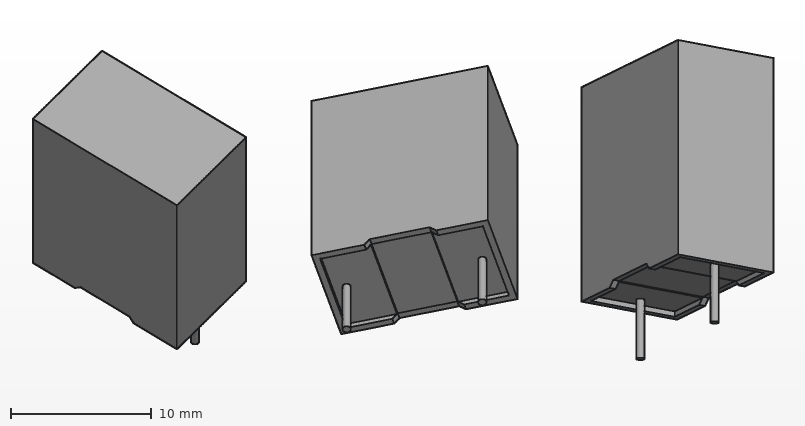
import cadquery as cq

housing_width = 13.0
housing_depth = 8.0
housing_height = 16.0
housing_bottom = 4.0

notch_height = 0.45
notch_top_width = 4.4
notch_left_run = 0.5
notch_right_run = 0.4

wall_thickness = 0.5
fill_recess = 0.4
fill_thickness = 1.2
pin_diameter = 0.6
pin_pitch = 10.0

fill_width = housing_width - 2 * wall_thickness
fill_depth = housing_depth - 2 * wall_thickness
fill_bottom = housing_bottom + fill_recess


def upright_box(width, depth, bottom, height):
    """Box centred on the Z axis, standing on the level `bottom`."""
    return (
        cq.Workplane("XY")
        .workplane(offset=bottom)
        .rect(width, depth)
        .extrude(height)
    )


def make_notch():
    """Trapezoidal bar that cuts the relief notch through the whole depth."""
    half_top = notch_top_width / 2
    return (
        cq.Workplane("XZ")
        .moveTo(-half_top - notch_left_run, housing_bottom)
        .lineTo(-half_top, housing_bottom + notch_height)
        .lineTo(half_top, housing_bottom + notch_height)
        .lineTo(half_top + notch_right_run, housing_bottom)
        .close()
        .extrude(housing_depth / 2, both=True)
    )


def make_housing(notch):
    """Block with an underside cavity for the fill and its recess, notched at front and back."""
    block = upright_box(housing_width, housing_depth, housing_bottom, housing_height)
    cavity = upright_box(fill_width, fill_depth, housing_bottom, fill_recess + fill_thickness)
    return block.cut(cavity).cut(notch)


def make_terminal_block(notch):
    """Notched fill plate carrying the two pins that hang from its underside."""
    fill = upright_box(fill_width, fill_depth, fill_bottom, fill_thickness).cut(notch)
    pins = (
        cq.Workplane("XY")
        .pushPoints([(-pin_pitch / 2, 0), (pin_pitch / 2, 0)])
        .circle(pin_diameter / 2)
        .extrude(fill_bottom)
    )
    return fill.union(pins)


notch = make_notch()
housing = make_housing(notch)
terminal_block = make_terminal_block(notch)

result = cq.Compound.makeCompound([*housing.vals(), *terminal_block.vals()])